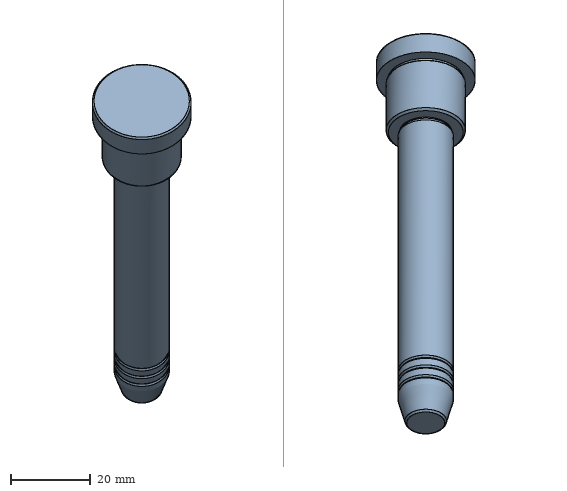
import cadquery as cq
import math

length = 112.0
head_radius = 25.0 / 2
head_height = 6.0
head_chamfer = 0.5
shoulder_radius = 20.0 / 2
shoulder_height = 16.0
shoulder_chamfer = 0.6
shaft_radius = 14.0 / 2

relief_depth = 0.3
head_relief_height = 0.9
shaft_relief_height = 1.1
shaft_relief_slope = 0.8

taper_height = 7.0
taper_angle = 15.0
tip_chamfer_height = 0.6
tip_chamfer_width = 0.5

groove_count = 3
groove_pitch = 3.0
groove_width = 1.0
groove_depth = 0.3
lowest_groove_center = 9.5

head_bottom = length - head_height
shoulder_bottom = head_bottom - shoulder_height
head_relief_bottom = head_bottom - head_relief_height
shaft_relief_bottom = shoulder_bottom - shaft_relief_height
taper_run = (taper_height - tip_chamfer_height) * math.tan(math.radians(taper_angle))
tip_radius = shaft_radius - taper_run


def pin_body():
    """Revolve the half profile: taper, shaft, shoulder and head."""
    profile = (
        cq.Workplane("XZ")
        .moveTo(0, 0)
        .lineTo(tip_radius - tip_chamfer_width, 0)
        .lineTo(tip_radius, tip_chamfer_height)
        .lineTo(shaft_radius, taper_height)
        .lineTo(shaft_radius, shaft_relief_bottom)
        .lineTo(shaft_radius - relief_depth, shaft_relief_bottom + shaft_relief_slope)
        .lineTo(shaft_radius - relief_depth, shoulder_bottom)
        .lineTo(shoulder_radius - shoulder_chamfer, shoulder_bottom)
        .lineTo(shoulder_radius, shoulder_bottom + shoulder_chamfer)
        .lineTo(shoulder_radius, head_relief_bottom)
        .lineTo(shoulder_radius - relief_depth, head_relief_bottom + relief_depth)
        .lineTo(shoulder_radius - relief_depth, head_bottom)
        .lineTo(head_radius, head_bottom)
        .lineTo(head_radius, length - head_chamfer)
        .lineTo(head_radius - head_chamfer, length)
        .lineTo(0, length)
        .close()
    )
    return profile.revolve(360, (0, 0, 0), (0, 1, 0))


def ring_groove(center):
    """V-shaped ring, to be cut from the shaft."""
    bottom = center - groove_width / 2
    top = center + groove_width / 2
    outside = shaft_radius + groove_depth
    return (
        cq.Workplane("XZ")
        .moveTo(outside, bottom)
        .lineTo(shaft_radius, bottom)
        .lineTo(shaft_radius - groove_depth, center)
        .lineTo(shaft_radius, top)
        .lineTo(outside, top)
        .close()
        .revolve(360, (0, 0, 0), (0, 1, 0))
    )


result = pin_body()
for index in range(groove_count):
    result = result.cut(ring_groove(lowest_groove_center + index * groove_pitch))